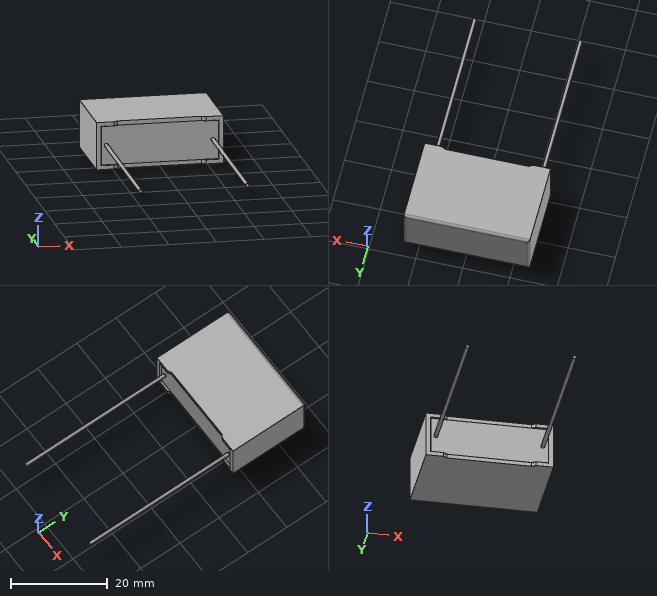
import cadquery as cq


total_length = 53.6
case_width = 26.8
case_length = 18.5
case_height = 10.2

side_wall = 1.0
flat_wall = 0.9
end_round = 0.55
foot_width = 3.7
notch_depth = 0.5
notch_slope = 0.85

lead_diameter = 0.8
lead_pitch = 22.5

cavity_width = case_width - 2 * side_wall
cavity_height = case_height - 2 * flat_wall
cavity_end = case_length - side_wall
fill_face = notch_depth
lead_tip = case_length - total_length


def block(width, height, y_start, y_end):
    """Box centred on X and Z, spanning y_start to y_end."""
    return cq.Workplane("XY").box(width, y_end - y_start, height).translate((0, (y_start + y_end) / 2, 0))


def make_notch():
    """Trapezoidal relief that crosses both flat walls of the rim."""
    half_mouth = case_width / 2 - foot_width
    half_floor = half_mouth - notch_slope
    return (
        cq.Workplane("XY")
        .moveTo(-half_mouth, 0)
        .lineTo(half_mouth, 0)
        .lineTo(half_floor, notch_depth)
        .lineTo(-half_floor, notch_depth)
        .close()
        .extrude(case_height / 2, both=True)
    )


def make_case():
    """Cup open toward -Y, rounded at its closed end and notched at its rim."""
    shell = block(case_width, case_height, 0, case_length).faces(">Y").edges().fillet(end_round)
    cavity = block(cavity_width, cavity_height, 0, cavity_end)
    return shell.cut(cavity).cut(make_notch())


def make_fill():
    """Resin block that fills the cavity up to the notch floor."""
    return block(cavity_width, cavity_height, fill_face, cavity_end)


def make_lead(x):
    """Straight round wire standing on the face of the fill."""
    return (
        cq.Workplane("XZ", origin=(x, fill_face, 0))
        .circle(lead_diameter / 2)
        .extrude(fill_face - lead_tip)
    )


case = make_case()
fill = make_fill()
leads = [make_lead(side * lead_pitch / 2) for side in (-1, 1)]

result = cq.Compound.makeCompound([case.val(), fill.val(), *[lead.val() for lead in leads]])